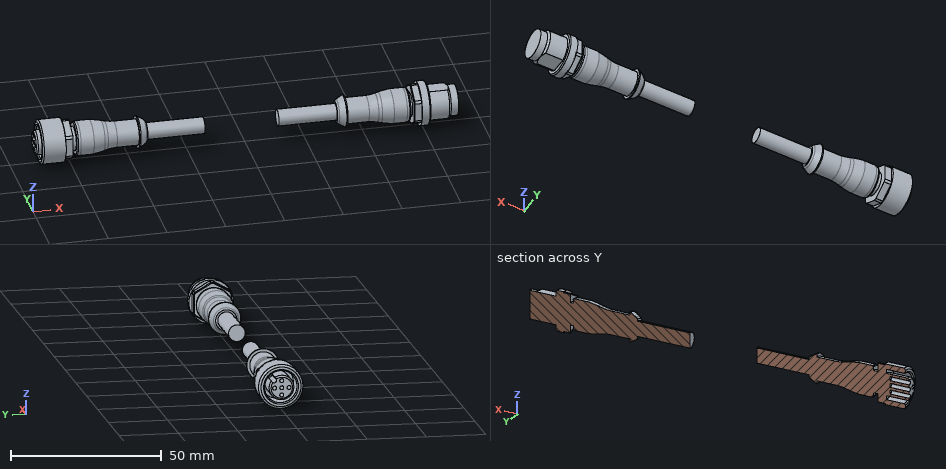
import cadquery as cq
import math

TOTAL_LENGTH = 143.5
SOCKET_CABLE_END = 57.7
PLUG_CABLE_END = 82.8

CABLE_RADIUS = 2.9
GRIP_LENGTH = 24.5
GRIP_RADIUS = 5.9
GRIP_FACE_RADIUS = 5.5
GRIP_RIM_WIDTH = 0.5
GRIP_RIM_RADIUS = 5.7
GRIP_LEAD_IN_END = 1.3
SHOULDER_END = 5.7
TAPER_START = 9.6
TAPER_START_RADIUS = 5.2
TAPER_END = 10.8
TAPER_END_RADIUS = 4.9
WAIST_START = 13.9
WAIST_RADIUS = 4.5
TAPER_BULGE = 0.07
COLLAR_START = 21.4
COLLAR_RADIUS = 5.5
COLLAR_RIM_WIDTH = 0.5
COLLAR_CONE_END = 24.0
COLLAR_CONE_END_RADIUS = 4.2
GRIP_END_RADIUS = 3.6

COUPLING_DIAMETER = 15.0
COUPLING_RADIUS = COUPLING_DIAMETER / 2
COUPLING_CHAMFER = 0.5
CORE_RADIUS = 4.2
HEX_SIDES = 6
HEX_ACROSS_FLATS = 12.9
HEX_CORNER_RADIUS = 7.2
HEX_WIDTH = 2.6

INSERT_CHAMFER = 0.6
NUT_START = 1.5
NUT_END = 9.3
SOCKET_HEX_END = NUT_END + HEX_WIDTH
SOCKET_GRIP_FACE = 13.5
NUT_FACE_RADIUS = 6.7
NUT_BORE_RADIUS = 5.5
NUT_BORE_CHAMFER = 0.5
NUT_BORE_DEPTH = 7.2
OUTER_CONTACTS = 4
CONTACT_HOLE_RADIUS = 0.65
CONTACT_CIRCLE_RADIUS = 2.5
CONTACT_HOLE_DEPTH = 7.2
KEYWAY_RADIUS = 0.9
KEYWAY_CENTRE_RADIUS = 3.7
KEYWAY_ANGLE = 45.0

PLUG_GRIP_FACE = 127.1
PLUG_HEX_START = 128.0
FLANGE_START = PLUG_HEX_START + HEX_WIDTH
FLANGE_END = 133.6
HEX_END_CHAMFER = 0.3
SLEEVE_RADIUS = 6.0
SLEEVE_TIP_RADIUS = 5.3
SLEEVE_TIP_START = 140.9
SLEEVE_FLAT_HEIGHT = SLEEVE_TIP_RADIUS


def cylinder(start, end, radius):
    """Cylinder on the X axis between two X positions."""
    return cq.Workplane("YZ", origin=(start, 0, 0)).circle(radius).extrude(end - start)


def hexagon(start, end):
    """Hexagonal prism with corners on top and bottom, rounded off to a cylinder."""
    across_corners = HEX_ACROSS_FLATS / math.cos(math.pi / HEX_SIDES)
    prism = (
        cq.Workplane("YZ", origin=(start, 0, 0))
        .transformed(rotate=(0, 0, 90))
        .polygon(HEX_SIDES, across_corners)
        .extrude(end - start)
    )
    return prism.intersect(cylinder(start, end, HEX_CORNER_RADIUS))


def bowed_middle(start, end, bulge):
    """Midpoint of a profile segment, moved radially by the bulge."""
    return ((start[0] + end[0]) / 2, (start[1] + end[1]) / 2 + bulge)


def grip_with_cable(cable_end):
    """Grip with its face at X = 0, and the cable running along +X to cable_end."""
    shoulder = (SHOULDER_END, GRIP_RADIUS)
    taper_start = (TAPER_START, TAPER_START_RADIUS)
    taper_end = (TAPER_END, TAPER_END_RADIUS)
    waist = (WAIST_START, WAIST_RADIUS)
    return (
        cq.Workplane("XY")
        .moveTo(0, 0)
        .lineTo(0, GRIP_FACE_RADIUS)
        .lineTo(GRIP_RIM_WIDTH, GRIP_RIM_RADIUS)
        .lineTo(GRIP_LEAD_IN_END, GRIP_RADIUS)
        .lineTo(*shoulder)
        .threePointArc(bowed_middle(shoulder, taper_start, TAPER_BULGE), taper_start)
        .lineTo(*taper_end)
        .threePointArc(bowed_middle(taper_end, waist, -TAPER_BULGE), waist)
        .lineTo(COLLAR_START, WAIST_RADIUS)
        .lineTo(COLLAR_START, COLLAR_RADIUS)
        .lineTo(COLLAR_START + COLLAR_RIM_WIDTH, COLLAR_RADIUS)
        .lineTo(COLLAR_CONE_END, COLLAR_CONE_END_RADIUS)
        .lineTo(GRIP_LENGTH, GRIP_END_RADIUS)
        .lineTo(GRIP_LENGTH, CABLE_RADIUS)
        .lineTo(cable_end, CABLE_RADIUS)
        .lineTo(cable_end, 0)
        .close()
        .revolve(360, (0, 0, 0), (1, 0, 0))
    )


def coupling_nut():
    """Round nut with a chamfered front rim and a chamfered bore, closed at the back."""
    return (
        cq.Workplane("XY")
        .moveTo(NUT_START + NUT_BORE_DEPTH, 0)
        .lineTo(NUT_START + NUT_BORE_DEPTH, NUT_BORE_RADIUS)
        .lineTo(NUT_START + NUT_BORE_CHAMFER, NUT_BORE_RADIUS)
        .lineTo(NUT_START, NUT_BORE_RADIUS + NUT_BORE_CHAMFER)
        .lineTo(NUT_START, NUT_FACE_RADIUS)
        .lineTo(NUT_START + COUPLING_CHAMFER, COUPLING_RADIUS)
        .lineTo(NUT_END, COUPLING_RADIUS)
        .lineTo(NUT_END, 0)
        .close()
        .revolve(360, (0, 0, 0), (1, 0, 0))
    )


def contact_holes():
    """Four contact holes on a circle and one in the centre."""
    points = [(0, 0)]
    for index in range(OUTER_CONTACTS):
        angle = 2 * math.pi * index / OUTER_CONTACTS
        y = CONTACT_CIRCLE_RADIUS * math.cos(angle)
        z = CONTACT_CIRCLE_RADIUS * math.sin(angle)
        points.append((y, z))
    return cq.Workplane("YZ").pushPoints(points).circle(CONTACT_HOLE_RADIUS).extrude(CONTACT_HOLE_DEPTH)


def insert_keyway():
    """Round groove along the insert, at the upper +Y side."""
    angle = math.radians(KEYWAY_ANGLE)
    y = KEYWAY_CENTRE_RADIUS * math.cos(angle)
    z = KEYWAY_CENTRE_RADIUS * math.sin(angle)
    return cq.Workplane("YZ").center(y, z).circle(KEYWAY_RADIUS).extrude(NUT_START + NUT_BORE_DEPTH)


def build_socket_half():
    """Female half: nut, contact insert, hexagon, grip and cable."""
    core = cylinder(0, SOCKET_GRIP_FACE, CORE_RADIUS).faces("<X").chamfer(INSERT_CHAMFER)
    grip = grip_with_cable(SOCKET_CABLE_END - SOCKET_GRIP_FACE).translate((SOCKET_GRIP_FACE, 0, 0))
    body = coupling_nut().union(core).union(hexagon(NUT_END, SOCKET_HEX_END)).union(grip)
    return body.cut(contact_holes()).cut(insert_keyway()).solids()


def flange():
    """Round flange with a chamfered rim on the sleeve side."""
    return cylinder(FLANGE_START, FLANGE_END, COUPLING_RADIUS).faces(">X").chamfer(COUPLING_CHAMFER)


def threaded_sleeve():
    """Sleeve with a narrower tip and a flat on top and bottom."""
    sleeve = cylinder(FLANGE_END, SLEEVE_TIP_START, SLEEVE_RADIUS)
    sleeve = sleeve.faces(">X").chamfer(SLEEVE_RADIUS - SLEEVE_TIP_RADIUS)
    length = SLEEVE_TIP_START - FLANGE_END
    between_flats = cq.Workplane("XY", origin=(FLANGE_END + length / 2, 0, 0)).box(
        length, 2 * SLEEVE_RADIUS, 2 * SLEEVE_FLAT_HEIGHT
    )
    tip = cylinder(SLEEVE_TIP_START, TOTAL_LENGTH, SLEEVE_TIP_RADIUS)
    return sleeve.intersect(between_flats).union(tip)


def build_plug_half():
    """Male half: cable, grip, hexagon, flange and threaded sleeve."""
    grip = grip_with_cable(PLUG_GRIP_FACE - PLUG_CABLE_END).mirror("YZ").translate((PLUG_GRIP_FACE, 0, 0))
    core = cylinder(PLUG_GRIP_FACE, PLUG_HEX_START, CORE_RADIUS)
    plug_hex = hexagon(PLUG_HEX_START, FLANGE_START).faces("<X").chamfer(HEX_END_CHAMFER)
    return grip.union(core).union(plug_hex).union(flange()).union(threaded_sleeve()).solids()


socket_half = build_socket_half()
plug_half = build_plug_half()

result = cq.Compound.makeCompound([socket_half.val(), plug_half.val()])